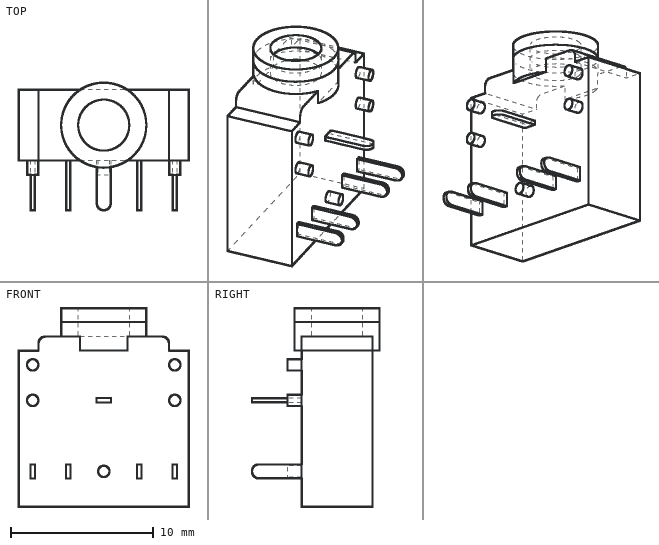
import cadquery as cq

body_width = 12.0
body_depth = 5.0
body_height = 11.0
front_y = -body_depth / 2

shoulder_width = 9.2
shoulder_height = 1.0
shoulder_radius = 0.5
shoulder_top = body_height + shoulder_height

collar_diameter = 6.0
bore_diameter = 3.6
collar_height = 2.0
collar_top = body_height + collar_height
bore_depth = collar_top - shoulder_top
ring_height = 1.0

grid_pitch = 2.5
lower_row = grid_pitch
middle_row = 3 * grid_pitch
upper_row = 4 * grid_pitch
outer_column = 2 * grid_pitch

peg_diameter = 0.8
peg_length = 1.0
peg_positions = [(0, lower_row)]
for side in (-1, 1):
    for row in (middle_row, upper_row):
        peg_positions.append((side * outer_column, row))

pin_length = 3.5
pin_width = 1.0
pin_thickness = 0.3
lying_flat = 0
standing_on_edge = 90
side_pin_columns = [-outer_column, -grid_pitch, grid_pitch, outer_column]


def make_housing():
    """Block with shoulder, bored collar and front locating pegs."""
    block = cq.Workplane("XY").box(body_width, body_depth, body_height, centered=(True, True, False))
    shoulder = (
        cq.Workplane("XY", origin=(0, 0, body_height))
        .box(shoulder_width, body_depth, shoulder_height, centered=(True, True, False))
        .edges("|Y and >Z")
        .fillet(shoulder_radius)
    )
    collar = (
        cq.Workplane("XY", origin=(0, 0, body_height))
        .circle(collar_diameter / 2)
        .extrude(collar_height)
    )
    bore = (
        cq.Workplane("XY", origin=(0, 0, collar_top))
        .circle(bore_diameter / 2)
        .extrude(-bore_depth)
    )
    pegs = (
        cq.Workplane("XZ", origin=(0, front_y, 0))
        .pushPoints(peg_positions)
        .circle(peg_diameter / 2)
        .extrude(peg_length)
    )
    return block.union(shoulder).union(collar).cut(bore).union(pegs)


def make_ring():
    """Flat ring seated on the collar, in line with its bore."""
    return (
        cq.Workplane("XY", origin=(0, 0, collar_top))
        .circle(collar_diameter / 2)
        .circle(bore_diameter / 2)
        .extrude(ring_height)
    )


def make_pin(column, row, turn):
    """Flat round-ended pin on the front face, turned about its own length."""
    half_width = pin_width / 2
    straight_end = half_width - pin_length
    return (
        cq.Workplane("XY", origin=(0, 0, -pin_thickness / 2))
        .moveTo(-half_width, 0)
        .lineTo(-half_width, straight_end)
        .threePointArc((0, -pin_length), (half_width, straight_end))
        .lineTo(half_width, 0)
        .close()
        .extrude(pin_thickness)
        .rotate((0, 0, 0), (0, 1, 0), turn)
        .translate((column, front_y, row))
    )


housing = make_housing()
ring = make_ring()
center_pin = make_pin(0, middle_row, lying_flat)
side_pins = [make_pin(column, lower_row, standing_on_edge) for column in side_pin_columns]

result = cq.Compound.makeCompound(
    [housing.val(), ring.val(), center_pin.val(), *[pin.val() for pin in side_pins]]
)